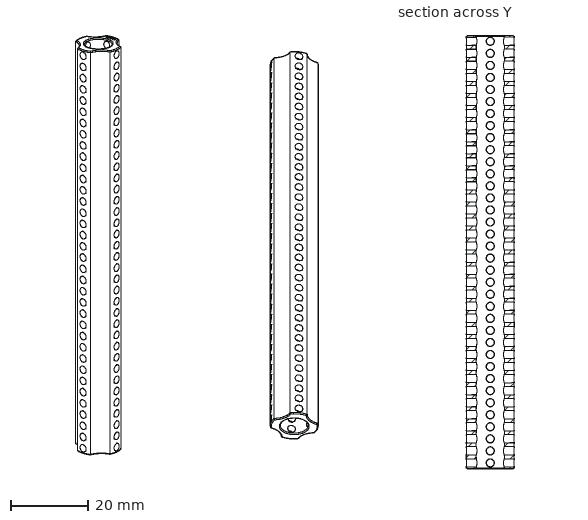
import cadquery as cq
import math

length = 112.5
outer_diameter = 12.5
bore_diameter = 7.2
end_chamfer = 0.28

lobe_half_width = 2.2
flute_radius_from_axis = 5.0

cross_hole_diameter = 2.0
holes_per_row = 36
hole_pitch = length / holes_per_row

mark_width = 2.9
mark_height = 0.5
mark_depth = 0.2
mark_center_y = 5.1

outer_radius = outer_diameter / 2
lobe_corner = math.sqrt(outer_radius**2 - lobe_half_width**2)


def rotate_quarters(point, quarters):
    """Turn a point about the tube axis by a number of quarter turns."""
    x, y = point
    for _ in range(quarters):
        x, y = -y, x
    return (x, y)


def make_fluted_bar():
    """Bar with four rounded lobe tips joined by concave flutes."""
    flute_bottom = flute_radius_from_axis * math.sqrt(0.5)
    outline = cq.Workplane("XY").moveTo(lobe_corner, -lobe_half_width)
    for quarter in range(4):
        tip_middle = rotate_quarters((outer_radius, 0), quarter)
        tip_end = rotate_quarters((lobe_corner, lobe_half_width), quarter)
        flute_middle = rotate_quarters((flute_bottom, flute_bottom), quarter)
        flute_end = rotate_quarters((lobe_half_width, lobe_corner), quarter)
        outline = outline.threePointArc(tip_middle, tip_end)
        outline = outline.threePointArc(flute_middle, flute_end)
    return outline.close().extrude(length)


def make_bore():
    return cq.Workplane("XY").circle(bore_diameter / 2).extrude(length)


def make_cross_holes(plane):
    """One row of holes passing through two opposite lobes."""
    centers = [(0, hole_pitch / 2 + index * hole_pitch) for index in range(holes_per_row)]
    return (
        cq.Workplane(plane)
        .pushPoints(centers)
        .circle(cross_hole_diameter / 2)
        .extrude(outer_radius, both=True)
    )


def make_mark():
    return (
        cq.Workplane("XY", origin=(0, mark_center_y, length - mark_depth))
        .rect(mark_width, mark_height)
        .extrude(mark_depth)
    )


result = make_fluted_bar().cut(make_bore())
result = result.faces("<Z or >Z").chamfer(end_chamfer)
for hole_plane in ("XZ", "YZ"):
    result = result.cut(make_cross_holes(hole_plane))
result = result.cut(make_mark())